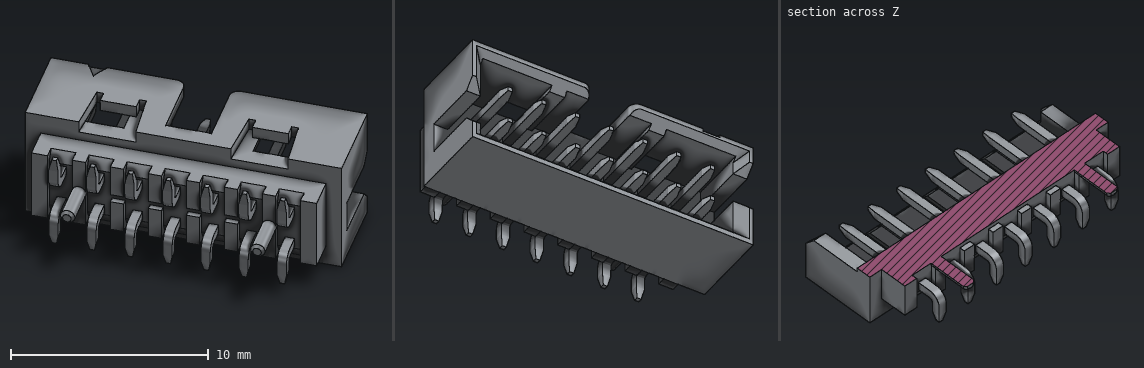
import cadquery as cq
import math


pitch = 2.0
pins_per_row = 7
row_z = pitch / 2
pin_size = 0.5
pin_tip_size = 0.25
pin_tip_length = 0.6

shroud_length = 16.65
shroud_height = 6.3
shroud_depth = 4.7
cavity_length = 15.0
cavity_height = 5.0
cavity_floor_y = 0.95
inner_rib_height = 0.25
lead_in = 0.6

lower_rib_spacing = 2 * pitch
lower_rib_width = 0.8
upper_rib_outer_x = 3.4

key_width = 2.4
key_mouth_radius = 0.5

end_slot_high_z = 1.53
end_slot_low_z = -0.23
end_slot_chamfer = lead_in

latch_x = 4.0
latch_recess = (shroud_height - cavity_height) / 2
latch_rear_width = 3.0
latch_front_width = 2.6
latch_length = 2.6
latch_tab_width = 1.9
latch_tab_y = 2.0

mark_x = -5.85
mark_width = 1.0
mark_length = 0.85
mark_recess = 0.15

base_length = cavity_length
base_height = 4.0
base_depth = 1.7
notch_width = 1.3
notch_depth = 0.32
notch_slope_rise = 0.62
notch_slope_run = 0.32
ridge_gap = 0.45

peg_x = 5.0
peg_diameter = 0.75
peg_chamfer = 0.15
overall_depth = 8.6

contact_tip_y = 4.55
tail_outer_y = -2.9
tail_tip_z = 2.65
bend_inner_radius = 0.2

pin_xs = [(i - (pins_per_row - 1) / 2) * pitch for i in range(pins_per_row)]


def block(x0, x1, y0, y1, z0, z1):
    """Box between two corners."""
    return cq.Workplane("XY").box(x1 - x0, y1 - y0, z1 - z0, centered=False).translate((x0, y0, z0))


def top_prism(points, z0, z1):
    """Upright prism on an outline given in X and Y."""
    return cq.Workplane("XY").workplane(offset=z0).polyline(points).close().extrude(z1 - z0)


def make_cavity():
    """Mating cavity with ribs left on its long walls and a 45 degree lead-in at the mouth."""
    half_length = cavity_length / 2
    half_height = cavity_height / 2
    rib_z = half_height - inner_rib_height
    cavity = block(-half_length, half_length, cavity_floor_y, shroud_depth, -half_height, half_height)
    for x in (-lower_rib_spacing, 0, lower_rib_spacing):
        rib = block(
            x - lower_rib_width / 2, x + lower_rib_width / 2,
            cavity_floor_y, shroud_depth, -half_height, -rib_z,
        )
        cavity = cavity.cut(rib)
    upper_rib = block(
        latch_x - latch_rear_width / 2, upper_rib_outer_x,
        cavity_floor_y, shroud_depth, rib_z, half_height,
    )
    cavity = cavity.cut(upper_rib).cut(upper_rib.mirror("YZ"))
    mouth = (
        cq.Workplane("XZ", origin=(0, shroud_depth, 0))
        .rect(cavity_length + 2 * lead_in, 2 * (rib_z + lead_in))
        .extrude(lead_in, taper=45)
    )
    return cavity.union(mouth)


def make_end_slot():
    """Opening through the -X end wall, flared at the mouth."""
    flare_y = shroud_depth - end_slot_chamfer
    outline = [
        (cavity_floor_y, end_slot_low_z),
        (flare_y, end_slot_low_z),
        (shroud_depth, end_slot_low_z - end_slot_chamfer),
        (shroud_depth, end_slot_high_z + end_slot_chamfer),
        (flare_y, end_slot_high_z),
        (cavity_floor_y, end_slot_high_z),
    ]
    wall = (shroud_length - cavity_length) / 2
    return cq.Workplane("YZ", origin=(-shroud_length / 2, 0, 0)).polyline(outline).close().extrude(wall)


def make_key_slot():
    """Slot through the upper wall with rounded mouth corners."""
    half = key_width / 2
    round_y = shroud_depth - key_mouth_radius
    mid = key_mouth_radius * (1 - math.sqrt(0.5))
    return (
        cq.Workplane("XY")
        .moveTo(-half, cavity_floor_y)
        .lineTo(half, cavity_floor_y)
        .lineTo(half, round_y)
        .threePointArc((half + mid, shroud_depth - mid), (half + key_mouth_radius, shroud_depth))
        .lineTo(-half - key_mouth_radius, shroud_depth)
        .threePointArc((-half - mid, shroud_depth - mid), (-half, round_y))
        .close()
        .extrude(shroud_height / 2)
    )


def make_latch_pocket():
    """Tapered recess around a tab at +X; its floor meets the cavity roof and opens beside the upper rib."""
    top_z = shroud_height / 2
    floor_z = top_z - latch_recess
    outline = [
        (latch_x - latch_rear_width / 2, 0),
        (latch_x + latch_rear_width / 2, 0),
        (latch_x + latch_front_width / 2, latch_length),
        (latch_x + latch_tab_width / 2, latch_length),
        (latch_x + latch_tab_width / 2, latch_tab_y),
        (latch_x - latch_tab_width / 2, latch_tab_y),
        (latch_x - latch_tab_width / 2, latch_length),
        (latch_x - latch_front_width / 2, latch_length),
    ]
    return top_prism(outline, floor_z, top_z)


def make_pin_one_mark():
    """Shallow triangle in the upper face, pointing to the rear."""
    outline = [
        (mark_x - mark_width / 2, shroud_depth),
        (mark_x + mark_width / 2, shroud_depth),
        (mark_x, shroud_depth - mark_length),
    ]
    return top_prism(outline, shroud_height / 2 - mark_recess, shroud_height / 2)


def make_shroud():
    shroud = block(
        -shroud_length / 2, shroud_length / 2, 0, shroud_depth, -shroud_height / 2, shroud_height / 2
    )
    end_slot = make_end_slot()
    latch_pocket = make_latch_pocket()
    shroud = shroud.cut(make_cavity()).cut(make_key_slot()).cut(make_pin_one_mark())
    shroud = shroud.cut(end_slot).cut(end_slot.rotate((0, 0, 0), (0, 1, 0), 180))
    return shroud.cut(latch_pocket).cut(latch_pocket.mirror("YZ"))


def make_base():
    """Block behind the shroud, notched around every pin pair."""
    half_height = base_height / 2
    floor_y = notch_depth - base_depth
    base = block(-base_length / 2, base_length / 2, -base_depth, 0, -half_height, half_height)
    notch_outline = [
        (-base_depth, -half_height),
        (floor_y + notch_slope_run, -half_height),
        (floor_y, notch_slope_rise - half_height),
        (floor_y, half_height - notch_slope_rise),
        (floor_y + notch_slope_run, half_height),
        (-base_depth, half_height),
    ]
    notch = cq.Workplane("YZ").polyline(notch_outline).close().extrude(notch_width / 2, both=True)
    for x in pin_xs:
        base = base.cut(notch.translate((x, 0, 0)))
    gap = block(pin_xs[1], pin_xs[-2], -base_depth, floor_y, -ridge_gap / 2, ridge_gap / 2)
    return base.cut(gap)


def make_pin():
    """Upper-row pin at X = 0: straight contact, bend and upright solder tail."""
    half = pin_size / 2
    bend_outer_radius = bend_inner_radius + pin_size
    tail_inner_y = tail_outer_y + pin_size
    lower_z = row_z - half
    upper_z = row_z + half
    bend_y = tail_outer_y + bend_outer_radius
    bend_z = lower_z + bend_outer_radius
    contact_shoulder_y = contact_tip_y - pin_tip_length
    tail_shoulder_z = tail_tip_z - pin_tip_length
    diagonal = math.sqrt(0.5)
    body = (
        cq.Workplane("YZ")
        .moveTo(contact_shoulder_y, lower_z)
        .lineTo(bend_y, lower_z)
        .threePointArc(
            (bend_y - bend_outer_radius * diagonal, bend_z - bend_outer_radius * diagonal),
            (tail_outer_y, bend_z),
        )
        .lineTo(tail_outer_y, tail_shoulder_z)
        .lineTo(tail_inner_y, tail_shoulder_z)
        .lineTo(tail_inner_y, bend_z)
        .threePointArc(
            (bend_y - bend_inner_radius * diagonal, bend_z - bend_inner_radius * diagonal),
            (bend_y, upper_z),
        )
        .lineTo(contact_shoulder_y, upper_z)
        .close()
        .extrude(half, both=True)
    )
    taper = math.degrees(math.atan((pin_size - pin_tip_size) / 2 / pin_tip_length))
    contact_tip = (
        cq.Workplane("XZ", origin=(0, contact_shoulder_y, row_z))
        .rect(pin_size, pin_size)
        .extrude(-pin_tip_length, taper=taper)
    )
    tail_tip = (
        cq.Workplane("XY", origin=(0, tail_outer_y + half, tail_shoulder_z))
        .rect(pin_size, pin_size)
        .extrude(pin_tip_length, taper=taper)
    )
    return body.union(contact_tip).union(tail_tip)


def make_peg():
    """Round locating peg at X = 0, rooted in the base and chamfered at its end."""
    return (
        cq.Workplane("XZ")
        .circle(peg_diameter / 2)
        .extrude(overall_depth - shroud_depth)
        .faces("<Y")
        .chamfer(peg_chamfer)
    )


result = make_shroud().union(make_base())
upper_pin = make_pin()
lower_pin = upper_pin.mirror("XY")
for pin_x in pin_xs:
    result = result.union(upper_pin.translate((pin_x, 0, 0)))
    result = result.union(lower_pin.translate((pin_x, 0, 0)))
for side in (-1, 1):
    result = result.union(make_peg().translate((side * peg_x, 0, 0)))